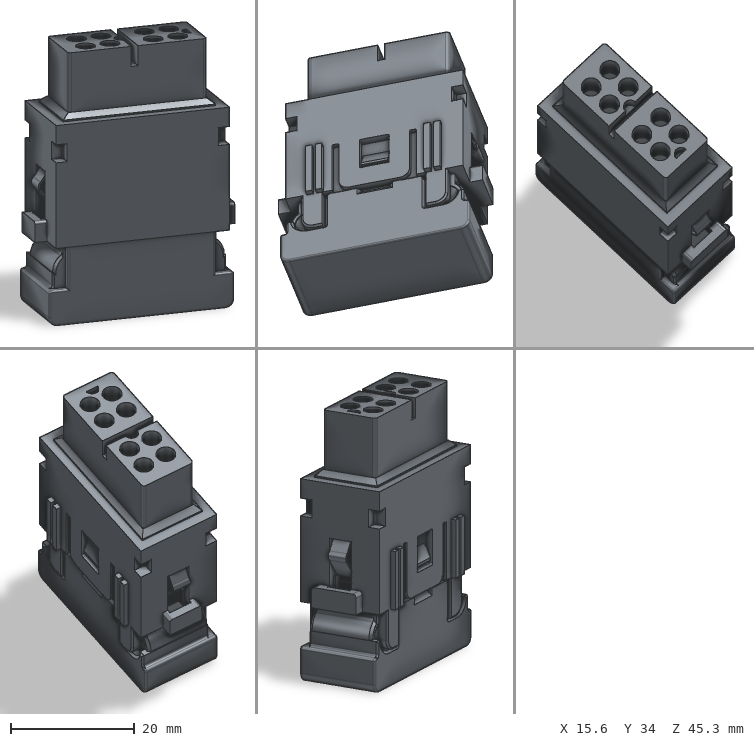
import cadquery as cq
import math

total_height = 45.3
overall_y = 34.0
body_bottom = 13.27
body_top = 34.05
mid_height = 23.15

body_half_x = 7.35
body_half_y = 14.9

notch_x, notch_y = 2.1, 1.9
notch_bottom, notch_top = 27.75, 30.8
notch_bevel_x, notch_bevel_y = 0.55, 0.23

plug_center_x = -0.05
plug_x, plug_y = 9.8, 23.85
plug_corner_radius = 0.6
foot_x, foot_y = 11.6, 26.2
foot_rim = 0.25
foot_top = 35.25
slit_y_min, slit_y_max = -1.1, 0.1
slit_depth = 3.4
contact_pitch_x, contact_pitch_y = 4.25, 4.2
contact_radius = 1.6
contact_depth = 5.45
insert_centers_y = (5.8, -5.85)
key_offset_y = 4.75
key_radius = 1.1
key_depth = 2.25

rib_width = 1.1
rib_height = 0.9
rib_centers_y = (9.1, 10.8)
tongue_half_y = 5.95
tongue_radius = 1.65
tongue_slot_width = 1.15
tongue_slot_depth = 0.8
window_half_y = 2.5
window_bottom = 17.05
window_depth = 1.3
window_corner_radius = 0.25
ramp_half_y = 2.25
ramp_top = 20.65
ramp_bottom = 18.3
ramp_lip = 17.85
ramp_front_recess = 0.25

latch_window_min_x, latch_window_max_x = -2.15, 2.0
latch_half_x = 1.65
latch_window_top = 24.82
latch_window_depth = 2.7
leaf_thickness = 0.25
leaf_root_y = 13.9
leaf_root_sink = 0.15
leaf_upper_bend = (15.4, 22.8)
leaf_nose_z = 22.05
leaf_lower_bend = (15.45, 21.43)
leaf_tip = (12.9, 18.3)
well_bottom = 14.5
well_reach_y = 15.55
stop_ledge_top = window_bottom
stop_ledge_depth = 0.25
post_top = 18.05
post_front_y = 13.6
tab_top = 16.75
tab_reach = overall_y / 2
front_tab_x, front_tab_radius = 6.15, 0.45
back_tab_x, back_tab_radius = 8.25, 0.6

cover_min_x, cover_max_x = -7.0, 6.9
cover_edge_radius = 0.3
base_half_y = 15.9
base_top = 6.02
base_bottom_radius = 1.55
block_half_y = body_half_y
ledge_radius = (base_half_y - block_half_y) / 2
inner_half_x = 5.75
neck_half_y = 13.15
neck_fillet_radius = 0.75
end_plate_half_y = 12.7
wall_top = 12.95
wall_corner_radius = 1.15
cylinder_y, cylinder_z = 11.32, 8.6
cylinder_radius = 3.45
cylinder_bevel_x, cylinder_bevel_radial = 0.5, 0.4
pit_radius = 2.45
pit_inner_y = 8.35
pit_corner_radius = 0.2
pit_flare = 0.4
pocket_depth = 0.2
column_y_min, column_y_max = 8.75, 12.28
column_bottom = 6.2
column_foot_radius = 2.0
column_edge_radius = 0.3
scoop_half_y = 2.95
scoop_floor_half_y = 2.45
scoop_height = 1.25
scoop_depth = 0.72


def block(x, y, z):
    """Box given by its (low, high) limits along each axis."""
    size = [limits[1] - limits[0] for limits in (x, y, z)]
    return cq.Workplane("XY").box(*size, centered=False).translate((x[0], y[0], z[0]))


def both_ends(shape):
    """The shape together with its copy at the opposite Y end."""
    return shape.union(shape.mirror("XZ"))


def make_body():
    body = block((-body_half_x, body_half_x), (-body_half_y, body_half_y), (body_bottom, body_top))
    inner_x = body_half_x - notch_x
    inner_y = body_half_y - notch_y
    notch = (
        cq.Workplane("XY", origin=(0, 0, notch_bottom))
        .moveTo(inner_x + notch_bevel_x, inner_y)
        .lineTo(body_half_x, inner_y)
        .lineTo(body_half_x, body_half_y)
        .lineTo(inner_x, body_half_y)
        .lineTo(inner_x, inner_y + notch_bevel_y)
        .close()
        .extrude(notch_top - notch_bottom)
    )
    notches = both_ends(notch.union(notch.mirror("YZ")))
    return body.cut(notches)


def make_plug():
    rim_top = body_top + foot_rim
    foot = (
        cq.Workplane("XY", origin=(plug_center_x, 0, rim_top))
        .rect(foot_x, foot_y)
        .workplane(offset=foot_top - rim_top)
        .rect(plug_x, plug_y)
        .loft()
    )
    rim = cq.Workplane("XY", origin=(plug_center_x, 0, body_top)).rect(foot_x, foot_y).extrude(foot_rim)
    plug = (
        cq.Workplane("XY", origin=(plug_center_x, 0, body_top))
        .rect(plug_x, plug_y)
        .extrude(total_height - body_top)
        .edges("|Z")
        .fillet(plug_corner_radius)
    )
    slit_x = (-body_half_x, body_half_x)
    plug = plug.cut(block(slit_x, (slit_y_min, slit_y_max), (total_height - slit_depth, total_height)))
    for center_y in insert_centers_y:
        top_face = cq.Workplane("XY", origin=(plug_center_x, center_y, total_height))
        contacts = (
            top_face.rarray(contact_pitch_x, contact_pitch_y, 2, 2)
            .circle(contact_radius)
            .extrude(-contact_depth)
        )
        key = (
            top_face.moveTo(-key_radius, key_offset_y)
            .threePointArc((0, key_offset_y - key_radius), (key_radius, key_offset_y))
            .close()
            .extrude(-key_depth)
        )
        plug = plug.cut(contacts).cut(key)
    return plug.union(foot).union(rim)


def make_ribs():
    ribs = cq.Workplane("XY")
    for center_y in rib_centers_y:
        rib_y = (center_y - rib_width / 2, center_y + rib_width / 2)
        ribs = ribs.union(block((-body_half_x - rib_height, -body_half_x), rib_y, (body_bottom, mid_height)))
    return both_ends(ribs)


def make_tongue_slots():
    slot_outer_y = tongue_half_y + tongue_slot_width
    slot = (
        cq.Workplane("YZ", origin=(-body_half_x, 0, 0))
        .moveTo(tongue_half_y, mid_height)
        .lineTo(tongue_half_y, body_bottom + tongue_radius)
        .radiusArc((tongue_half_y - tongue_radius, body_bottom), tongue_radius)
        .lineTo(slot_outer_y, body_bottom)
        .lineTo(slot_outer_y, mid_height)
        .close()
        .extrude(tongue_slot_depth)
        .edges("|X and >Z")
        .fillet(window_corner_radius)
    )
    return both_ends(slot)


def make_side_window():
    floor_x = -body_half_x + window_depth
    return (
        block((-body_half_x, floor_x), (-window_half_y, window_half_y), (window_bottom, mid_height))
        .edges("|X")
        .fillet(window_corner_radius)
    )


def make_side_ramp():
    floor_x = -body_half_x + window_depth
    front_x = -body_half_x + ramp_front_recess
    return (
        cq.Workplane("XZ", origin=(0, ramp_half_y, 0))
        .polyline([(floor_x, ramp_top), (front_x, ramp_bottom), (front_x, ramp_lip), (floor_x, ramp_lip)])
        .close()
        .extrude(2 * ramp_half_y)
    )


def make_latch_windows():
    floor_y = body_half_y - latch_window_depth
    window_x = (latch_window_min_x, latch_window_max_x)
    return both_ends(block(window_x, (floor_y, well_reach_y), (well_bottom, latch_window_top)))


def make_latches():
    middle_nose_y = base_half_y - leaf_thickness / 2
    leaf = (
        cq.Workplane("YZ", origin=(-latch_half_x, 0, 0))
        .moveTo(leaf_root_y, latch_window_top + leaf_root_sink)
        .lineTo(*leaf_upper_bend)
        .threePointArc((middle_nose_y, leaf_nose_z), leaf_lower_bend)
        .lineTo(*leaf_tip)
        .offset2D(leaf_thickness / 2)
        .extrude(2 * latch_half_x)
    )
    return both_ends(leaf)


def make_latch_stops():
    """Ledge and slim post standing on the floor of each latch window."""
    floor_y = body_half_y - latch_window_depth
    ledge_y = (floor_y, floor_y + stop_ledge_depth)
    ledge = block((-latch_half_x, latch_half_x), ledge_y, (well_bottom, stop_ledge_top))
    post = block((latch_half_x, latch_window_max_x), (floor_y, post_front_y), (well_bottom, post_top))
    return both_ends(ledge.union(post))


def make_tab(width, radius, reach_direction):
    tab = (
        block((-width / 2, width / 2), (body_half_y, tab_reach), (body_bottom, tab_top))
        .edges("|Y and >Z")
        .fillet(radius)
    )
    return tab if reach_direction > 0 else tab.mirror("XZ")


def half_profile():
    """+Y half of the shoulder outline: rounded base, S-shaped ledge, then a straight wall."""
    return (
        cq.Workplane("YZ", origin=(cover_min_x, 0, 0))
        .lineTo(base_half_y - base_bottom_radius, 0)
        .radiusArc((base_half_y, base_bottom_radius), -base_bottom_radius)
        .lineTo(base_half_y, base_top - ledge_radius)
        .radiusArc((base_half_y - ledge_radius, base_top), -ledge_radius)
        .radiusArc((block_half_y, base_top + ledge_radius), ledge_radius)
        .lineTo(block_half_y, cylinder_z)
        .lineTo(0, cylinder_z)
        .close()
    )


def pit_outline(grow):
    """Outline of a pit in the cover wall: straight beside the column, round on the outside."""
    radius = pit_radius + grow
    inner_y = pit_inner_y - grow
    corner = pit_corner_radius + grow
    return (
        cq.Workplane("YZ", origin=(cover_min_x, 0, 0))
        .moveTo(inner_y, body_bottom)
        .lineTo(inner_y, cylinder_z - radius + corner)
        .radiusArc((inner_y + corner, cylinder_z - radius), -corner)
        .lineTo(cylinder_y, cylinder_z - radius)
        .radiusArc((cylinder_y + radius, cylinder_z), -radius)
        .lineTo(cylinder_y + radius, body_bottom)
        .close()
    )


def make_base_slab():
    slab_y = (-base_half_y, base_half_y)
    return (
        block((cover_min_x, cover_max_x), slab_y, (0, base_top))
        .edges("|X and <Z")
        .fillet(base_bottom_radius)
        .edges("|X and >Z")
        .fillet(ledge_radius)
        .faces("<X or >X")
        .edges()
        .fillet(cover_edge_radius)
    )


def make_cover():
    shoulder = half_profile().extrude(inner_half_x - cover_min_x)
    shoulder = both_ends(shoulder).clean().faces("<X or >X").edges().chamfer(cover_edge_radius)
    wall = (
        block((cover_min_x, -inner_half_x), (-pit_inner_y, pit_inner_y), (base_top, wall_top))
        .edges("|X and >Z")
        .fillet(wall_corner_radius)
    )
    cover = make_base_slab().union(shoulder).union(wall)
    pit = pit_outline(0).extrude(-inner_half_x - cover_min_x)
    flare = pit_outline(pit_flare).extrude(pit_flare, taper=45)
    cover = cover.cut(both_ends(pit.union(flare)))
    scoop = (
        cq.Workplane("YZ", origin=(cover_min_x, 0, 0))
        .center(0, wall_top)
        .rect(2 * scoop_half_y, 2 * scoop_height)
        .workplane(offset=scoop_depth)
        .rect(2 * scoop_floor_half_y, scoop_height / 2)
        .loft()
    )
    return cover.cut(scoop)


def make_neck():
    neck_z = (base_top - ledge_radius, body_bottom)
    core = block((-inner_half_x, inner_half_x), (-neck_half_y, neck_half_y), neck_z)
    end_plate = (
        block((inner_half_x, cover_max_x), (-end_plate_half_y, end_plate_half_y), neck_z)
        .edges("|Z and >X")
        .fillet(cover_edge_radius)
    )
    return core.union(end_plate)


def make_neck_fillets():
    """Hollow fillets where the neck meets the cross cylinders, found by tangency to both."""
    center_distance = cylinder_radius + neck_fillet_radius
    center_y = neck_half_y + neck_fillet_radius
    offset_y = center_y - cylinder_y
    offset_z = math.sqrt(center_distance**2 - offset_y**2)
    touch_y = cylinder_y + offset_y * cylinder_radius / center_distance
    touch_z = cylinder_z + offset_z * cylinder_radius / center_distance
    half_length = inner_half_x - cylinder_bevel_x
    fillet = (
        cq.Workplane("YZ", origin=(-half_length, 0, 0))
        .moveTo(neck_half_y, cylinder_z + offset_z)
        .radiusArc((touch_y, touch_z), -neck_fillet_radius)
        .lineTo(cylinder_y, cylinder_z)
        .lineTo(cylinder_y, cylinder_z + offset_z)
        .close()
        .extrude(2 * half_length)
    )
    return both_ends(fillet)


def make_cylinders():
    end_radius = cylinder_radius - cylinder_bevel_radial
    shoulder_x = inner_half_x - cylinder_bevel_x
    cylinder = (
        cq.Workplane("XY")
        .moveTo(-inner_half_x, 0)
        .lineTo(-inner_half_x, end_radius)
        .lineTo(-shoulder_x, cylinder_radius)
        .lineTo(shoulder_x, cylinder_radius)
        .lineTo(inner_half_x, end_radius)
        .lineTo(inner_half_x, 0)
        .close()
        .revolve(360, (0, 0, 0), (1, 0, 0))
        .translate((0, cylinder_y, cylinder_z))
    )
    return both_ends(cylinder)


def make_cylinder_pockets():
    pocket = (
        cq.Workplane("YZ", origin=(-inner_half_x, 0, 0))
        .center(cylinder_y, cylinder_z)
        .circle(pit_radius)
        .extrude(pocket_depth)
    )
    return both_ends(pocket)


def make_columns():
    back_x = -inner_half_x + pocket_depth
    column = (
        block((-body_half_x, back_x), (column_y_min, column_y_max), (column_bottom, body_bottom))
        .edges("|X and <Z and >Y")
        .fillet(column_foot_radius)
        .faces("<X")
        .edges("not (>Z or <Y)")
        .chamfer(column_edge_radius)
    )
    return both_ends(column)


housing = make_body().union(make_plug()).union(make_ribs())
housing = housing.cut(make_tongue_slots())
housing = housing.cut(make_side_window()).union(make_side_ramp())
housing = housing.union(make_tab(front_tab_x, front_tab_radius, -1))
housing = housing.union(make_tab(back_tab_x, back_tab_radius, 1))
housing = housing.cut(make_latch_windows()).union(make_latches()).union(make_latch_stops())

lower = make_cover().union(make_neck()).union(make_neck_fillets()).union(make_cylinders())
lower = lower.cut(make_cylinder_pockets()).union(make_columns())

result = housing.union(lower)